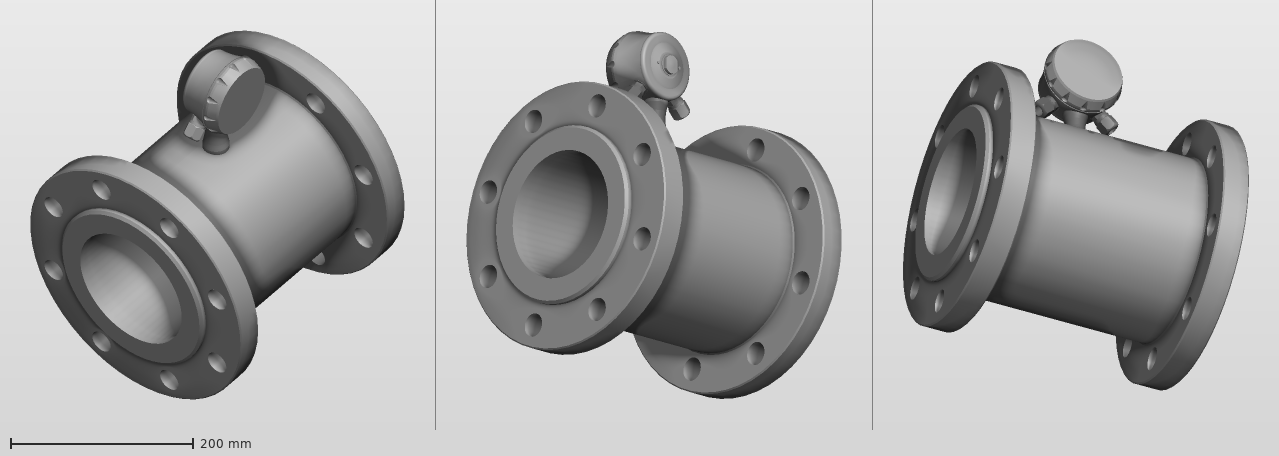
import cadquery as cq
import math

LENGTH = 300.0
BORE_DIAMETER = 143.5
PIPE_DIAMETER = 210.0

FLANGE_DIAMETER = 300.0
FLANGE_THICKNESS = 30.5
FLANGE_EDGE = 1.5
RAISED_FACE_DIAMETER = 200.0
RAISED_FACE_HEIGHT = 7.8
RAISED_FACE_EDGE = 3.0
WELD_LEG = 1.5
BOLT_COUNT = 8
BOLT_HOLE_DIAMETER = 26.0
BOLT_CIRCLE_DIAMETER = 250.2

HEAD_Z = 194.5
HEAD_BACK_X = -19.5
HEAD_BACK_RADIUS = 34.3
BODY_SHOULDER_X = -14.5
BODY_SHOULDER_RADIUS = 38.2
BODY_WAIST_X = 4.0
BODY_WAIST_RADIUS = 41.12
BODY_LIP = 0.8

LID_X = 15.2
LID_DIAMETER = 91.0
LID_START_DIAMETER = 88.0
LID_CREST_X = 19.0
LID_CREST_LENGTH = 2.7
LID_SHOULDER_X = 32.0
LID_SHOULDER_DIAMETER = 83.8
LID_END_X = 34.3
LID_END_DIAMETER = 81.0
NOTCH_COUNT = 12
NOTCH_RADIUS = 4.0
NOTCH_TIP_X = 32.7
NOTCH_TAPER_LENGTH = 12.5

DISH_RADIUS = 26.0
DISH_HEIGHT = 2.7
KNOB_SEAT_DIAMETER = 30.0
KNOB_COLLAR_DIAMETER = 23.5
KNOB_COLLAR_HEIGHT = 0.8
KNOB_DIAMETER = 20.5
KNOB_X = -27.0
KNOB_CROWN = 1.0
KNOB_FLATS = 17.5
PIN_DIAMETER = 3.45
PIN_HEIGHT = 0.8
PIN_OFFSET = 16.5

NECK_X = -2.0
NECK_BASE_Z = 99.5
NECK_BASE_TOP_Z = 109.5
NECK_BASE_DIAMETER = 30.0
NECK_RIM_Z = 112.3
NECK_RIM_DIAMETER = 29.0
NECK_FLARE_Z = 117.0
NECK_FLARE_DIAMETER = 27.0
NECK_WAIST_Z = 133.5
NECK_WAIST_LENGTH = 2.7
NECK_WAIST_DIAMETER = 22.0
NECK_TOP_Z = 144.5
NECK_TOP_DIAMETER = 23.5
NECK_BLEND_HEIGHT = 9.5
NECK_BLEND_DIAMETER = 28.0

GLAND_PIVOT_DROP = 1.0
GLAND_ANGLE = 45
GLAND_HUB_DIAMETER = 21.0
GLAND_HUB_END = 38.0
GLAND_COLLAR_SIDES = 8
GLAND_COLLAR_FLATS = 17.0
GLAND_WASHER_DIAMETER = 18.7
GLAND_WASHER_START = 43.5
GLAND_NUT_SIDES = 6
GLAND_NUT_START = 47.0
GLAND_NUT_END = 62.8
GLAND_NUT_FLATS = 19.0
GLAND_NUT_CHAMFER = 1.5
GLAND_NUT_ROUNDING = 4.5
GLAND_HOLE_DIAMETER = 12.0
GLAND_HOLE_DEPTH = 11.5


def flange():
    """Flange at the +Y end with its raised face and the weld against the pipe."""
    end_y = LENGTH / 2
    front_y = end_y - RAISED_FACE_HEIGHT
    rear_y = front_y - FLANGE_THICKNESS
    pipe_radius = PIPE_DIAMETER / 2
    flange_radius = FLANGE_DIAMETER / 2
    face_radius = RAISED_FACE_DIAMETER / 2
    return (
        cq.Workplane("XY")
        .moveTo(0, rear_y - WELD_LEG)
        .lineTo(pipe_radius, rear_y - WELD_LEG)
        .lineTo(pipe_radius + WELD_LEG, rear_y)
        .lineTo(flange_radius - FLANGE_EDGE, rear_y)
        .lineTo(flange_radius, rear_y + FLANGE_EDGE)
        .lineTo(flange_radius, front_y - FLANGE_EDGE)
        .lineTo(flange_radius - FLANGE_EDGE, front_y)
        .lineTo(face_radius, front_y)
        .lineTo(face_radius, end_y - RAISED_FACE_EDGE)
        .lineTo(face_radius - RAISED_FACE_EDGE, end_y)
        .lineTo(0, end_y)
        .close()
        .revolve(360, (0, 0, 0), (0, 1, 0))
    )


def flow_tube():
    """Pipe with a flange at each end, bored through and drilled for the bolts."""
    end_plane = cq.Workplane("XZ", origin=(0, LENGTH / 2, 0))
    pipe_length = LENGTH - 2 * (RAISED_FACE_HEIGHT + FLANGE_THICKNESS)
    pipe = cq.Workplane("XZ").circle(PIPE_DIAMETER / 2).extrude(pipe_length / 2, both=True)
    bore = end_plane.circle(BORE_DIAMETER / 2).extrude(LENGTH)
    bolt_holes = (
        end_plane.polarArray(BOLT_CIRCLE_DIAMETER / 2, 180 / BOLT_COUNT, 360, BOLT_COUNT)
        .circle(BOLT_HOLE_DIAMETER / 2)
        .extrude(LENGTH)
    )
    return pipe.union(flange()).union(flange().mirror("XZ")).cut(bore).cut(bolt_holes)


def head_body():
    """Flared housing with a rounded back edge, centred on the X axis."""
    return (
        cq.Workplane("XY")
        .moveTo(HEAD_BACK_X, 0)
        .lineTo(HEAD_BACK_X, HEAD_BACK_RADIUS)
        .tangentArcPoint((BODY_SHOULDER_X, BODY_SHOULDER_RADIUS), relative=False)
        .threePointArc((BODY_WAIST_X, BODY_WAIST_RADIUS), (LID_X, LID_START_DIAMETER / 2 + BODY_LIP))
        .lineTo(LID_X, 0)
        .close()
        .revolve(360, (0, 0, 0), (1, 0, 0))
    )


def lid():
    """Tapered lid, centred on the X axis, with teardrop grip notches."""
    blank = (
        cq.Workplane("XY")
        .moveTo(LID_X, 0)
        .lineTo(LID_X, LID_START_DIAMETER / 2)
        .lineTo(LID_CREST_X, LID_DIAMETER / 2)
        .lineTo(LID_CREST_X + LID_CREST_LENGTH, LID_DIAMETER / 2)
        .lineTo(LID_SHOULDER_X, LID_SHOULDER_DIAMETER / 2)
        .lineTo(LID_END_X, LID_END_DIAMETER / 2)
        .lineTo(LID_END_X, 0)
        .close()
        .revolve(360, (0, 0, 0), (1, 0, 0))
    )
    taper_run = LID_SHOULDER_X - LID_CREST_X - LID_CREST_LENGTH
    taper_drop = (LID_DIAMETER - LID_SHOULDER_DIAMETER) / 2
    taper_angle = math.degrees(math.atan2(taper_drop, taper_run))
    notch = (
        cq.Workplane("XY")
        .lineTo(-NOTCH_TAPER_LENGTH, NOTCH_RADIUS)
        .radiusArc((-NOTCH_TAPER_LENGTH - NOTCH_RADIUS, 0), -NOTCH_RADIUS)
        .close()
        .revolve(360, (0, 0, 0), (1, 0, 0))
        .rotate((0, 0, 0), (0, 1, 0), taper_angle)
        .translate((NOTCH_TIP_X, 0, LID_SHOULDER_DIAMETER / 2))
    )
    for index in range(NOTCH_COUNT):
        blank = blank.cut(notch.rotate((0, 0, 0), (1, 0, 0), index * 360 / NOTCH_COUNT))
    return blank


def knob():
    """Dished seat, stepped knob with two flats and a pair of pins, centred on the X axis."""
    seat_x = HEAD_BACK_X - DISH_HEIGHT
    seat = (
        cq.Workplane("XY")
        .moveTo(HEAD_BACK_X, 0)
        .lineTo(HEAD_BACK_X, DISH_RADIUS)
        .lineTo(seat_x, KNOB_SEAT_DIAMETER / 2)
        .lineTo(seat_x, KNOB_COLLAR_DIAMETER / 2)
        .lineTo(seat_x - KNOB_COLLAR_HEIGHT, KNOB_COLLAR_DIAMETER / 2)
        .lineTo(seat_x - KNOB_COLLAR_HEIGHT, 0)
        .close()
        .revolve(360, (0, 0, 0), (1, 0, 0))
    )
    grip = (
        cq.Workplane("XY")
        .moveTo(seat_x, 0)
        .lineTo(seat_x, KNOB_DIAMETER / 2)
        .lineTo(KNOB_X, KNOB_DIAMETER / 2)
        .lineTo(KNOB_X - KNOB_CROWN, 0)
        .close()
        .revolve(360, (0, 0, 0), (1, 0, 0))
        .intersect(cq.Workplane("XY").box(LENGTH, KNOB_FLATS, KNOB_DIAMETER))
    )
    pins = (
        cq.Workplane("YZ", origin=(HEAD_BACK_X, 0, 0))
        .pushPoints([(-PIN_OFFSET, 0), (PIN_OFFSET, 0)])
        .circle(PIN_DIAMETER / 2)
        .extrude(-DISH_HEIGHT - PIN_HEIGHT)
    )
    return seat.union(grip).union(pins)


def neck():
    """Waisted stem from the pipe up into the head."""
    return (
        cq.Workplane("XZ")
        .moveTo(0, NECK_BASE_Z)
        .lineTo(NECK_BASE_DIAMETER / 2, NECK_BASE_Z)
        .lineTo(NECK_BASE_DIAMETER / 2, NECK_BASE_TOP_Z)
        .lineTo(NECK_RIM_DIAMETER / 2, NECK_RIM_Z)
        .lineTo(NECK_FLARE_DIAMETER / 2, NECK_FLARE_Z)
        .lineTo(NECK_WAIST_DIAMETER / 2, NECK_WAIST_Z)
        .lineTo(NECK_WAIST_DIAMETER / 2, NECK_WAIST_Z + NECK_WAIST_LENGTH)
        .lineTo(NECK_TOP_DIAMETER / 2, NECK_TOP_Z)
        .lineTo(NECK_BLEND_DIAMETER / 2, NECK_TOP_Z + NECK_BLEND_HEIGHT)
        .lineTo(NECK_BLEND_DIAMETER / 2, HEAD_Z)
        .lineTo(0, HEAD_Z)
        .close()
        .revolve(360, (0, 0, 0), (0, 1, 0))
        .translate((NECK_X, 0, 0))
    )


def across_corners(sides, flats):
    """Corner-to-corner size of an even-sided regular polygon."""
    return flats / math.cos(math.pi / sides)


def polygon_bar(sides, flats, start, end):
    """Regular prism along -Z with a corner towards +X, given its size across flats."""
    corners = across_corners(sides, flats)
    return cq.Workplane("XY", origin=(0, 0, -end)).polygon(sides, corners).extrude(end - start)


def cylinder(diameter, start, end):
    """Round bar along -Z."""
    return cq.Workplane("XY", origin=(0, 0, -end)).circle(diameter / 2).extrude(end - start)


def gland(side):
    """Hub, octagonal collar, washer and hollow cap nut, swung out to one side of the head axis."""
    nut_corners = across_corners(GLAND_NUT_SIDES, GLAND_NUT_FLATS)
    nut_envelope = (
        cylinder(nut_corners, GLAND_NUT_START, GLAND_NUT_END)
        .faces(">Z")
        .chamfer(GLAND_NUT_CHAMFER)
        .faces("<Z")
        .fillet(GLAND_NUT_ROUNDING)
    )
    nut = polygon_bar(GLAND_NUT_SIDES, GLAND_NUT_FLATS, GLAND_NUT_START, GLAND_NUT_END)
    collar = polygon_bar(GLAND_COLLAR_SIDES, GLAND_COLLAR_FLATS, 0, GLAND_WASHER_START)
    collar = collar.rotate((0, 0, 0), (0, 0, 1), 180 / GLAND_COLLAR_SIDES)
    cable_hole = cylinder(GLAND_HOLE_DIAMETER, GLAND_NUT_END - GLAND_HOLE_DEPTH, GLAND_NUT_END)
    return (
        cylinder(GLAND_HUB_DIAMETER, 0, GLAND_HUB_END)
        .union(collar)
        .union(cylinder(GLAND_WASHER_DIAMETER, GLAND_WASHER_START, GLAND_NUT_START))
        .union(nut.intersect(nut_envelope))
        .cut(cable_hole)
        .rotate((0, 0, 0), (1, 0, 0), side * GLAND_ANGLE)
        .translate((NECK_X, 0, -GLAND_PIVOT_DROP))
    )


head = head_body().union(lid()).union(knob()).union(gland(-1)).union(gland(1))
result = flow_tube().union(neck()).union(head.translate((0, 0, HEAD_Z)))